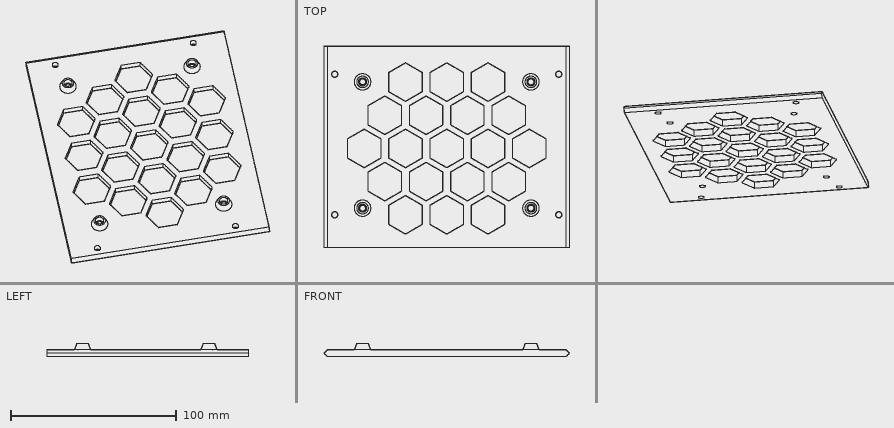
import cadquery as cq
import math

plate_length = 148.6
plate_width = 121.9
total_height = 8.0
plate_thickness = 4.2
edge_bevel = plate_thickness / 2

hex_sides = 6
hex_turn = 180 / hex_sides
hex_across_flats = 20.0
hex_pitch = 25.0
hex_row_spacing = 20.0
hex_row_counts = (3, 4, 5, 4, 3)
hex_field_y = -0.9

boss_spacing_x = 101.8
boss_spacing_y = 76.4
boss_field_y = 1.2
boss_base_diameter = 10.0
boss_top_diameter = 7.0
boss_height = total_height - plate_thickness
bore_diameter = 4.9

mount_spacing_x = 135.5
mount_spacing_y = 85.0
mount_field_y = 1.5

through_diameter = 3.5


def corner_points(spacing_x, spacing_y, centre_y):
    """Four corners of a rectangle centred at X = 0 and Y = centre_y."""
    return [
        (side_x * spacing_x / 2, centre_y + side_y * spacing_y / 2)
        for side_x in (-1, 1)
        for side_y in (-1, 1)
    ]


def honeycomb_points():
    """Centres of the hexagons, each row centred on X = 0."""
    middle_row = (len(hex_row_counts) - 1) / 2
    points = []
    for row, count in enumerate(hex_row_counts):
        y = hex_field_y + (row - middle_row) * hex_row_spacing
        for column in range(count):
            points.append(((column - (count - 1) / 2) * hex_pitch, y))
    return points


def make_plate():
    """Flat plate whose two X ends come to a V-shaped edge."""
    half_length = plate_length / 2
    flat_half_length = half_length - edge_bevel
    return (
        cq.Workplane("XZ")
        .moveTo(-half_length, edge_bevel)
        .lineTo(-flat_half_length, 0)
        .lineTo(flat_half_length, 0)
        .lineTo(half_length, edge_bevel)
        .lineTo(flat_half_length, plate_thickness)
        .lineTo(-flat_half_length, plate_thickness)
        .close()
        .extrude(plate_width / 2, both=True)
    )


def make_hexagons():
    """Hexagonal prisms that cut the openings."""
    corner_diameter = hex_across_flats / math.cos(math.pi / hex_sides)
    hexagon = (
        cq.Workplane("XY")
        .polygon(hex_sides, corner_diameter)
        .extrude(plate_thickness)
        .rotate((0, 0, 0), (0, 0, 1), hex_turn)
        .val()
    )
    return (
        cq.Workplane("XY")
        .pushPoints(honeycomb_points())
        .eachpoint(lambda location: hexagon.moved(location))
    )


def make_cylinders(points, diameter, bottom_z, height):
    """Upright cylinders at the given points."""
    return (
        cq.Workplane("XY", origin=(0, 0, bottom_z))
        .pushPoints(points)
        .circle(diameter / 2)
        .extrude(height)
    )


def make_bosses(points):
    """Cones that narrow upward from the top of the plate."""
    cone = cq.Solid.makeCone(boss_base_diameter / 2, boss_top_diameter / 2, boss_height)
    return (
        cq.Workplane("XY", origin=(0, 0, plate_thickness))
        .pushPoints(points)
        .eachpoint(lambda location: cone.moved(location))
    )


boss_points = corner_points(boss_spacing_x, boss_spacing_y, boss_field_y)
mount_points = corner_points(mount_spacing_x, mount_spacing_y, mount_field_y)

result = make_plate().cut(make_hexagons()).union(make_bosses(boss_points))

result = result.cut(make_cylinders(boss_points, bore_diameter, plate_thickness, boss_height))
result = result.cut(make_cylinders(boss_points + mount_points, through_diameter, 0, plate_thickness))